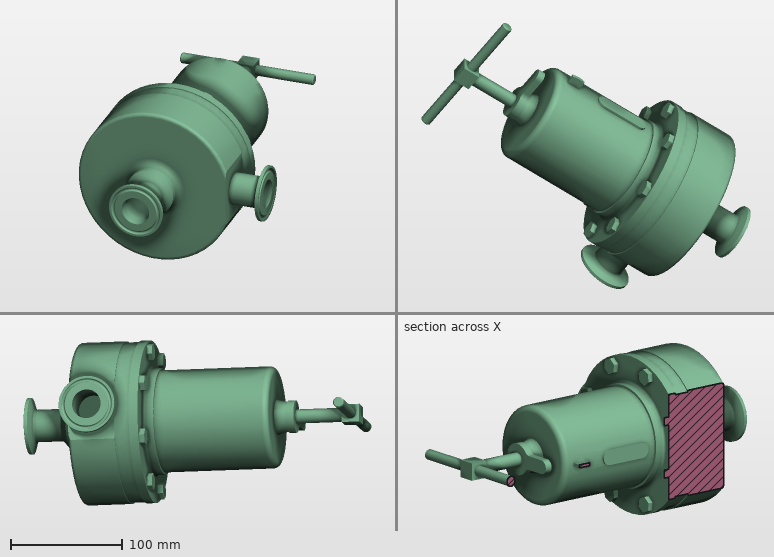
import cadquery as cq
import math


SELECT_MARGIN = 0.3

FERRULE_RADIUS = 25.5
FERRULE_RIM = 3.0
FERRULE_RIM_FILLET = 0.3
FERRULE_HEIGHT = 6.7
FERRULE_FILLET = 1.8
PIPE_RADIUS = 14.5
BORE_RADIUS = 13.0
GROOVE_CENTRE_RADIUS = 21.5
GROOVE_SECTION_RADIUS = 1.5
GROOVE_LIP_FILLET = 0.3

CONE_START_Y = 31.7
CONE_END_Y = 37.7
HUB_RADIUS = 22.2
HUB_FILLET = 6.5

BODY_DIAMETER = 146.5
BODY_RADIUS = BODY_DIAMETER / 2
BODY_BOTTOM_Y = 49.5
BODY_TOP_Y = 92.2
BODY_FILLET = 3.0
BODY_FLAT_X = 68.2
RING_RADIUS = 72.0
COVER_BOTTOM_Y = 106.0
COVER_TOP_Y = 114.2

TOTAL_WIDTH = 173.0
SIDE_FACE_X = TOTAL_WIDTH - BODY_RADIUS
SIDE_PORT_Y = 72.8

BONNET_RADIUS = 46.0
BONNET_BASE_RADIUS = 48.0
BONNET_BASE_TOP_Y = 123.5
BONNET_BASE_FILLET = 2.5
BONNET_TOP_Y = 228.0
BONNET_FILLET = 5.5

NECK_BOTTOM_RADIUS = 16.0
NECK_TOP_RADIUS = 13.7
COLLAR_BOTTOM_Y = 238.7
COLLAR_TOP_Y = 245.5
COLLAR_RADIUS = 14.5
ARM_END_X = -40.8
ARM_WIDTH = 12.8
ARM_ROOT_RADIUS = 6.7

TOTAL_LENGTH = 304.5
STEM_RADIUS = 6.5
BLOCK_SIZE = 16.0
BAR_LENGTH = 127.2
BAR_RADIUS = 5.0
BAR_CHAMFER = 1.0

BOLT_COUNT = 8
BOLT_CIRCLE_RADIUS = 64.2
BOLT_HEAD_HEIGHT = 5.0
BOLT_HEAD_ACROSS_CORNERS = 15.2
FLAT_TO_AXIS_ANGLE = 30

LUG_END_X = -55.0
LUG_Y = 211.3
LUG_LENGTH = 12.8
LUG_THICKNESS = 3.5
LUG_END_BULGE = 1.0
PLATE_FACE_X = -47.8
PLATE_Y = 158.0
PLATE_LENGTH = 51.8
PLATE_WIDTH = 14.3


def disc(bottom_y, top_y, radius):
    """Cylinder about the Y axis between two heights."""
    return cq.Workplane("XZ", origin=(0, bottom_y, 0)).circle(radius).extrude(bottom_y - top_y)


def pipe_end(length):
    """Pipe with a clamp ferrule and gasket groove, its face at Y = 0 and its pipe running along +Y."""
    outline = (
        cq.Workplane("XY")
        .lineTo(FERRULE_RADIUS, 0)
        .lineTo(FERRULE_RADIUS, FERRULE_RIM)
        .lineTo(PIPE_RADIUS, FERRULE_HEIGHT)
        .lineTo(PIPE_RADIUS, length)
        .lineTo(0, length)
        .close()
    )
    pipe = outline.revolve(360, (0, 0, 0), (0, 1, 0))
    flare_edge = cq.selectors.NearestToPointSelector((0, FERRULE_HEIGHT, 0))
    pipe = pipe.edges("%CIRCLE").edges(flare_edge).fillet(FERRULE_FILLET)
    rim_edges = cq.selectors.RadiusNthSelector(-1)
    pipe = pipe.edges("%CIRCLE").edges(rim_edges).fillet(FERRULE_RIM_FILLET)
    groove = (
        cq.Workplane("XY")
        .center(GROOVE_CENTRE_RADIUS, 0)
        .circle(GROOVE_SECTION_RADIUS)
        .revolve(360, (-GROOVE_CENTRE_RADIUS, 0, 0), (-GROOVE_CENTRE_RADIUS, 1, 0))
    )
    pipe = pipe.cut(groove)
    lip_inner = GROOVE_CENTRE_RADIUS - GROOVE_SECTION_RADIUS
    lip_outer = GROOVE_CENTRE_RADIUS + GROOVE_SECTION_RADIUS
    lips = pipe.faces("<Y").edges("%CIRCLE")
    lips = lips.filter(lambda edge: lip_inner - SELECT_MARGIN < edge.radius() < lip_outer + SELECT_MARGIN)
    return lips.fillet(GROOVE_LIP_FILLET)


def lower_hub():
    """Cone and cylinder that widen the lower pipe and blend into the body with a fillet."""
    outline = (
        cq.Workplane("XY")
        .moveTo(0, CONE_START_Y)
        .lineTo(PIPE_RADIUS, CONE_START_Y)
        .lineTo(HUB_RADIUS, CONE_END_Y)
        .lineTo(HUB_RADIUS, BODY_BOTTOM_Y - HUB_FILLET)
        .radiusArc((HUB_RADIUS + HUB_FILLET, BODY_BOTTOM_Y), HUB_FILLET)
        .lineTo(0, BODY_BOTTOM_Y)
        .close()
    )
    return outline.revolve(360, (0, 0, 0), (0, 1, 0))


def body():
    """Round body with a rounded lower edge and a flat for the side port."""
    drum = disc(BODY_BOTTOM_Y, BODY_TOP_Y, BODY_RADIUS).faces("<Y").edges().fillet(BODY_FILLET)
    cut_size = 2 * BODY_RADIUS
    flat = cq.Workplane("XY").box(cut_size, cut_size, cut_size, centered=(False, True, True))
    return drum.cut(flat.translate((BODY_FLAT_X, SIDE_PORT_Y, 0)))


def bonnet():
    """Spring housing with a stepped base that flares onto the cover and a concave neck on top."""
    neck_flare = NECK_BOTTOM_RADIUS - NECK_TOP_RADIUS
    neck_height = COLLAR_BOTTOM_Y - BONNET_TOP_Y
    neck_arc_radius = (neck_flare**2 + neck_height**2) / (2 * neck_flare)
    flare_radius = BONNET_BASE_RADIUS + BONNET_BASE_FILLET
    outline = (
        cq.Workplane("XY")
        .moveTo(0, COVER_TOP_Y)
        .lineTo(flare_radius, COVER_TOP_Y)
        .radiusArc((BONNET_BASE_RADIUS, COVER_TOP_Y + BONNET_BASE_FILLET), BONNET_BASE_FILLET)
        .lineTo(BONNET_BASE_RADIUS, BONNET_BASE_TOP_Y)
        .lineTo(BONNET_RADIUS, BONNET_BASE_TOP_Y)
        .lineTo(BONNET_RADIUS, BONNET_TOP_Y - BONNET_FILLET)
        .radiusArc((BONNET_RADIUS - BONNET_FILLET, BONNET_TOP_Y), -BONNET_FILLET)
        .lineTo(NECK_BOTTOM_RADIUS, BONNET_TOP_Y)
        .radiusArc((NECK_TOP_RADIUS, COLLAR_BOTTOM_Y), neck_arc_radius)
        .lineTo(0, COLLAR_BOTTOM_Y)
        .close()
    )
    return outline.revolve(360, (0, 0, 0), (0, 1, 0))


def lock_collar():
    """Disc with a rounded arm towards -X, blended into the disc."""
    thickness = COLLAR_TOP_Y - COLLAR_BOTTOM_Y
    end_radius = ARM_WIDTH / 2
    end_centre_x = ARM_END_X + end_radius
    arm = cq.Workplane("XY").box(-end_centre_x, thickness, ARM_WIDTH, centered=(False, False, True))
    arm = arm.translate((end_centre_x, COLLAR_BOTTOM_Y, 0))
    arm_end = disc(COLLAR_BOTTOM_Y, COLLAR_TOP_Y, end_radius).translate((end_centre_x, 0, 0))
    collar = disc(COLLAR_BOTTOM_Y, COLLAR_TOP_Y, COLLAR_RADIUS).union(arm).union(arm_end)
    root_x = -math.sqrt(COLLAR_RADIUS**2 - end_radius**2)
    near_root = cq.selectors.BoxSelector(
        (root_x - SELECT_MARGIN, COLLAR_BOTTOM_Y, -ARM_WIDTH),
        (root_x + SELECT_MARGIN, COLLAR_TOP_Y, ARM_WIDTH),
    )
    return collar.edges("|Y").edges(near_root).fillet(ARM_ROOT_RADIUS)


def handle():
    """Stem, square block and cross bar."""
    block_y = TOTAL_LENGTH - BLOCK_SIZE / 2
    stem = disc(COLLAR_TOP_Y, block_y, STEM_RADIUS)
    block = cq.Workplane("XY").box(BLOCK_SIZE, BLOCK_SIZE, BLOCK_SIZE).translate((0, block_y, 0))
    bar = cq.Workplane("YZ").circle(BAR_RADIUS).extrude(BAR_LENGTH / 2, both=True)
    bar = bar.faces("<X or >X").chamfer(BAR_CHAMFER).translate((0, block_y, 0))
    return stem.union(block).union(bar)


def bolt_heads():
    """Ring of hexagon heads, each with a flat facing the main axis."""
    pitch = 360 / BOLT_COUNT
    head = (
        cq.Workplane("XZ")
        .transformed(rotate=(0, 0, FLAT_TO_AXIS_ANGLE))
        .polygon(6, BOLT_HEAD_ACROSS_CORNERS)
        .extrude(-BOLT_HEAD_HEIGHT)
        .translate((BOLT_CIRCLE_RADIUS, COVER_TOP_Y, 0))
    )
    heads = cq.Workplane("XY")
    for index in range(BOLT_COUNT):
        heads = heads.add(head.rotate((0, 0, 0), (0, 1, 0), (index + 0.5) * pitch))
    return heads.combine()


def lug():
    """Thin tongue with a slightly bulged outer end."""
    half_length = LUG_LENGTH / 2
    corner_x = LUG_END_X + LUG_END_BULGE
    outline = (
        cq.Workplane("XY", origin=(0, LUG_Y, 0))
        .moveTo(0, -half_length)
        .lineTo(corner_x, -half_length)
        .threePointArc((LUG_END_X, 0), (corner_x, half_length))
        .lineTo(0, half_length)
        .close()
    )
    return outline.extrude(LUG_THICKNESS / 2, both=True)


def name_plate():
    """Flat plate with round ends, standing slightly off the bonnet."""
    plate = cq.Workplane("YZ").slot2D(PLATE_LENGTH, PLATE_WIDTH).extrude(-PLATE_FACE_X)
    return plate.translate((PLATE_FACE_X, PLATE_Y, 0))


side_pipe_length = SIDE_FACE_X - BODY_FLAT_X
side_pipe = pipe_end(side_pipe_length).rotate((0, 0, 0), (0, 0, 1), 90)
side_pipe = side_pipe.translate((SIDE_FACE_X, SIDE_PORT_Y, 0))
side_bore = (
    cq.Workplane("YZ", origin=(BODY_FLAT_X, SIDE_PORT_Y, 0)).circle(BORE_RADIUS).extrude(side_pipe_length)
)

result = (
    body()
    .union(disc(BODY_TOP_Y, COVER_BOTTOM_Y, RING_RADIUS))
    .union(disc(COVER_BOTTOM_Y, COVER_TOP_Y, BODY_RADIUS))
    .union(bonnet())
    .union(lock_collar())
    .union(handle())
    .union(bolt_heads())
    .union(lug())
    .union(name_plate())
    .union(lower_hub())
    .union(pipe_end(CONE_START_Y))
    .union(side_pipe)
    .cut(disc(0, BODY_BOTTOM_Y, BORE_RADIUS))
    .cut(side_bore)
)